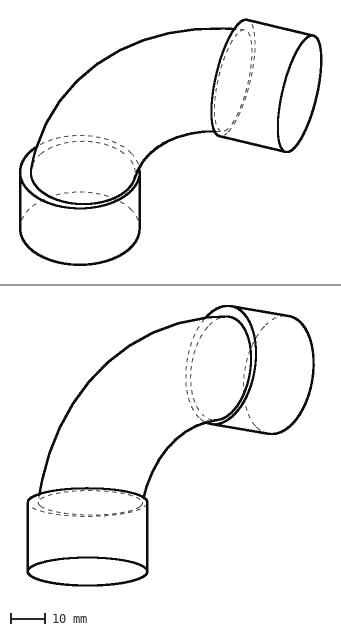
import cadquery as cq

overall_size = 86.5
collar_diameter = 35.0
collar_length = 20.85
tube_diameter = 30.1

collar_radius = collar_diameter / 2
bend_start = collar_length / 2
bend_radius = overall_size - collar_radius - bend_start
outlet_height = overall_size - collar_radius


def make_bend():
    """Solid quarter-torus tube from the vertical axis to the outlet axis."""
    return (
        cq.Workplane("XY")
        .workplane(offset=bend_start)
        .circle(tube_diameter / 2)
        .revolve(90, (bend_radius, 0, 0), (bend_radius, 1, 0))
    )


def make_collar(base, axis):
    """Cylindrical collar running from its base point along the given axis."""
    return cq.Workplane(
        cq.Solid.makeCylinder(collar_radius, collar_length, cq.Vector(*base), cq.Vector(*axis))
    )


lower_collar = make_collar((0, 0, 0), (0, 0, 1))
outlet_collar = make_collar((outlet_height - collar_length, 0, outlet_height), (1, 0, 0))

result = make_bend().union(lower_collar).union(outlet_collar)